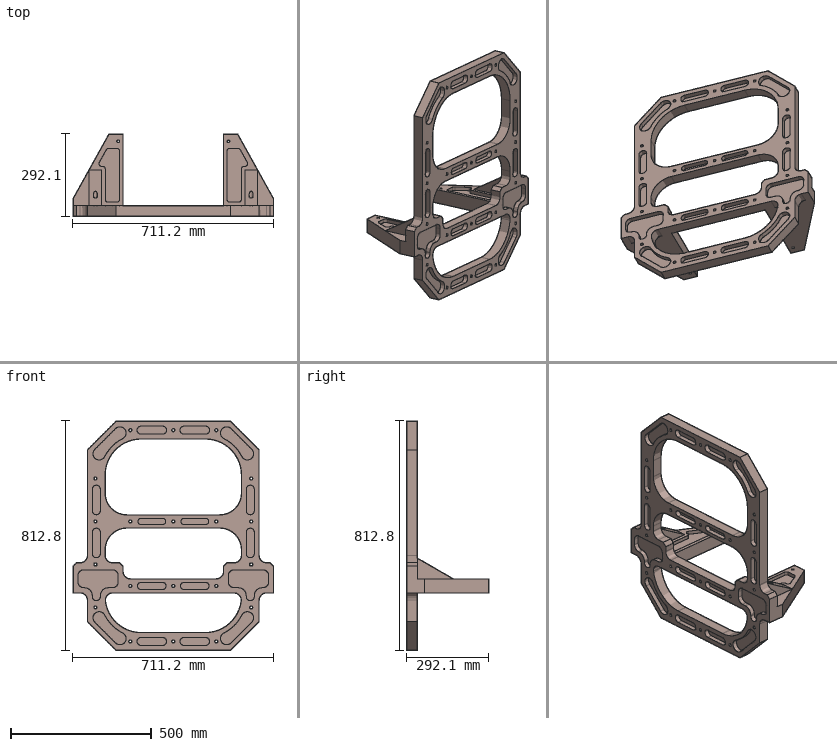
import math

import cadquery as cq

INCH = 25.4

PLATE_THICKNESS = 1.5 * INCH
FRAME_HALF_WIDTH = 12 * INCH
FRAME_HALF_HEIGHT = 16 * INCH
FRAME_CHAMFER = 4 * INCH
CHAMFER_ANGLE = 45
RIM_WIDTH = 2.5 * INCH

OPENING_HALF_WIDTH = FRAME_HALF_WIDTH - RIM_WIDTH
OPENING_HALF_HEIGHT = FRAME_HALF_HEIGHT - RIM_WIDTH
OUTER_CORNER_RADIUS = 5 * INCH
INNER_CORNER_RADIUS = 3 * INCH
BLEND_RADIUS = 1 * INCH

MIDDLE_BAR_WIDTH = 1.875 * INCH
LOWER_BAR_WIDTH = 2 * INCH
MIDDLE_BAR_Z = 2 * INCH
LOWER_BAR_Z = -7 * INCH
LOWER_BAR_TOP = LOWER_BAR_Z + LOWER_BAR_WIDTH / 2
LOWER_BAR_BOTTOM = LOWER_BAR_Z - LOWER_BAR_WIDTH / 2

EAR_OUTER_X = 14 * INCH
EAR_INNER_X = 7 * INCH
EAR_TOP = -3.75 * INCH
EAR_CHAMFER = 0.5 * INCH

POCKET_DEPTH = 0.6875 * INCH
POCKET_WALL = 0.6875 * INCH
RIM_SLOT_WIDTH = RIM_WIDTH - 2 * POCKET_WALL
BAR_SLOT_WALL = 0.5 * INCH
SLOT_CENTRE_DISTANCE = 3 * INCH
CORNER_POCKET_END_RADIUS = 0.865 * INCH
EAR_POCKET_TOP_WALL = 1 * INCH
EAR_POCKET_BOTTOM_WALL = 0.75 * INCH
EAR_POCKET_TOP = EAR_TOP - EAR_POCKET_TOP_WALL
EAR_POCKET_BOTTOM = LOWER_BAR_BOTTOM + EAR_POCKET_BOTTOM_WALL
EAR_POCKET_RADIUS = 0.8125 * INCH
STEM_BLEND_RADIUS = 1.125 * INCH

HOLE_PITCH = 6 * INCH
BOLT_DIAMETER = 0.385 * INCH
RIM_CENTRE_X = FRAME_HALF_WIDTH - RIM_WIDTH / 2
RIM_CENTRE_Z = FRAME_HALF_HEIGHT - RIM_WIDTH / 2
SIDE_HOLE_X = 10.875 * INCH

BRACKET_REACH = 11.5 * INCH
BRACKET_TIP_X = 9 * INCH
TAPER_START_Y = 2.5 * INCH
BRACKET_POCKET_MARGIN = 0.5 * INCH
BRACKET_POCKET_TAPER_WALL = 0.75 * INCH
BRACKET_POCKET_TIP_WALL = 2 * INCH
BRACKET_POCKET_END_Y = BRACKET_REACH - BRACKET_POCKET_TIP_WALL
BRACKET_POCKET_DEPTH = 0.5 * INCH
BRACKET_POCKET_RADIUS = 0.375 * INCH
TIP_HOLE_DIAMETER = 0.34 * INCH
TIP_HOLE_X = 7.7 * INCH
TIP_HOLE_SETBACK = 1 * INCH
TIP_HOLE_Y = BRACKET_REACH - TIP_HOLE_SETBACK

GUSSET_OUTER_X = 11.75 * INCH
GUSSET_INNER_X = 10 * INCH
GUSSET_LENGTH = 5 * INCH
GUSSET_ANGLE = math.radians(30)
GUSSET_BORE_DIAMETER = 0.5625 * INCH


def rounded_outline(workplane, corners):
    """Closed outline through (x, y, radius) corners, each rounded by its radius; 0 keeps it sharp."""
    path = None
    count = len(corners)
    for index, (x, y, radius) in enumerate(corners):
        corner = cq.Vector(x, y)
        before = (cq.Vector(*corners[index - 1][:2]) - corner).normalized()
        after = (cq.Vector(*corners[(index + 1) % count][:2]) - corner).normalized()
        half_angle = before.getAngle(after) / 2
        setback = radius / math.tan(half_angle)
        start = corner + before * setback
        end = corner + after * setback
        bisector = (before + after).normalized()
        middle = corner + bisector * (radius / math.sin(half_angle) - radius)
        if path is None:
            path = workplane.moveTo(start.x, start.y)
        else:
            path = path.lineTo(start.x, start.y)
        if radius > 0:
            path = path.threePointArc((middle.x, middle.y), (end.x, end.y))
    return path.close()


def front_plane():
    """Sketch plane on the front face: X right, Z up; extrude by a negative length to go back."""
    return cq.Workplane("XZ")


def mirror_pair(solid):
    return solid.union(solid.mirror("YZ"))


def frame_blank():
    blank = (
        front_plane()
        .rect(2 * FRAME_HALF_WIDTH, 2 * FRAME_HALF_HEIGHT)
        .extrude(-PLATE_THICKNESS)
        .edges("|Y")
        .chamfer(FRAME_CHAMFER)
    )
    return blank.union(mirror_pair(ear()))


def ear():
    """Left ear, with blends flowing into the outer side of the frame."""
    side = -FRAME_HALF_WIDTH
    inside = -OPENING_HALF_WIDTH
    top_blend = EAR_TOP + 2 * BLEND_RADIUS
    bottom_blend = LOWER_BAR_BOTTOM - 2 * BLEND_RADIUS
    corners = [
        (inside, top_blend, 0),
        (side, top_blend, 0),
        (side, EAR_TOP, BLEND_RADIUS),
        (-EAR_OUTER_X + EAR_CHAMFER, EAR_TOP, 0),
        (-EAR_OUTER_X, EAR_TOP - EAR_CHAMFER, 0),
        (-EAR_OUTER_X, LOWER_BAR_BOTTOM, 0),
        (side, LOWER_BAR_BOTTOM, BLEND_RADIUS),
        (side, bottom_blend, 0),
        (inside, bottom_blend, 0),
    ]
    return rounded_outline(front_plane(), corners).extrude(-PLATE_THICKNESS)


def upper_opening():
    bottom = MIDDLE_BAR_Z + MIDDLE_BAR_WIDTH / 2
    corners = [
        (-OPENING_HALF_WIDTH, bottom, INNER_CORNER_RADIUS),
        (-OPENING_HALF_WIDTH, OPENING_HALF_HEIGHT, OUTER_CORNER_RADIUS),
        (OPENING_HALF_WIDTH, OPENING_HALF_HEIGHT, OUTER_CORNER_RADIUS),
        (OPENING_HALF_WIDTH, bottom, INNER_CORNER_RADIUS),
    ]
    return rounded_outline(front_plane(), corners).extrude(-PLATE_THICKNESS)


def middle_opening():
    top = MIDDLE_BAR_Z - MIDDLE_BAR_WIDTH / 2
    left_side = [
        (-EAR_INNER_X, LOWER_BAR_TOP, BLEND_RADIUS),
        (-EAR_INNER_X, EAR_TOP - EAR_CHAMFER, 0),
        (-EAR_INNER_X - EAR_CHAMFER, EAR_TOP, 0),
        (-OPENING_HALF_WIDTH, EAR_TOP, BLEND_RADIUS),
        (-OPENING_HALF_WIDTH, top, INNER_CORNER_RADIUS),
    ]
    right_side = [(-x, z, radius) for x, z, radius in reversed(left_side)]
    return rounded_outline(front_plane(), left_side + right_side).extrude(-PLATE_THICKNESS)


def lower_opening():
    """Large bottom corner arcs, each running straight into a small blend at the crossbar."""
    arc_x = OPENING_HALF_WIDTH - OUTER_CORNER_RADIUS
    arc_z = OUTER_CORNER_RADIUS - OPENING_HALF_HEIGHT
    blend_z = LOWER_BAR_BOTTOM - BLEND_RADIUS
    centre_distance = OUTER_CORNER_RADIUS - BLEND_RADIUS
    tilt = math.asin((blend_z - arc_z) / centre_distance)
    blend_x = arc_x + centre_distance * math.cos(tilt)

    def on_arc(angle):
        return (
            arc_x + OUTER_CORNER_RADIUS * math.cos(angle),
            arc_z + OUTER_CORNER_RADIUS * math.sin(angle),
        )

    def on_blend(angle):
        return (blend_x + BLEND_RADIUS * math.cos(angle), blend_z + BLEND_RADIUS * math.sin(angle))

    down = -math.pi / 2
    up = math.pi / 2
    half = (
        front_plane()
        .moveTo(0, -OPENING_HALF_HEIGHT)
        .lineTo(arc_x, -OPENING_HALF_HEIGHT)
        .threePointArc(on_arc((down + tilt) / 2), on_arc(tilt))
        .threePointArc(on_blend((tilt + up) / 2), on_blend(up))
        .lineTo(0, LOWER_BAR_BOTTOM)
        .close()
        .extrude(-PLATE_THICKNESS)
    )
    return mirror_pair(half)


def slot_pockets(centres, width, angle):
    length = SLOT_CENTRE_DISTANCE + width
    return front_plane().pushPoints(centres).slot2D(length, width, angle).extrude(-POCKET_DEPTH)


def straight_pockets():
    """Slots midway between neighbouring bolt holes."""
    half_pitch = HOLE_PITCH / 2
    sides = (-1, 1)
    rim_rows = [(x * half_pitch, z * RIM_CENTRE_Z) for x in sides for z in sides]
    middle_row = [(x * half_pitch, MIDDLE_BAR_Z) for x in sides]
    lower_row = [(x * half_pitch, LOWER_BAR_Z) for x in sides]
    heights = [MIDDLE_BAR_Z + step * half_pitch for step in (1, -1, -3)]
    rim_columns = [(x * RIM_CENTRE_X, z) for x in sides for z in heights]
    return (
        slot_pockets(rim_rows, RIM_SLOT_WIDTH, 0)
        .union(slot_pockets(middle_row, MIDDLE_BAR_WIDTH - 2 * BAR_SLOT_WALL, 0))
        .union(slot_pockets(lower_row, LOWER_BAR_WIDTH - 2 * BAR_SLOT_WALL, 0))
        .union(slot_pockets(rim_columns, RIM_SLOT_WIDTH, 90))
    )


def corner_pocket():
    """Pocket between the chamfer and the opening's corner arc, round ends tangent to both walls.

    Laid out about the arc centre with the first axis pointing at the chamfer,
    then turned into the upper right corner of the frame.
    """
    arc_x = OPENING_HALF_WIDTH - OUTER_CORNER_RADIUS
    arc_z = OPENING_HALF_HEIGHT - OUTER_CORNER_RADIUS
    chamfer_sum = FRAME_HALF_WIDTH + FRAME_HALF_HEIGHT - FRAME_CHAMFER
    outer_wall = (chamfer_sum - arc_x - arc_z) / math.sqrt(2) - POCKET_WALL
    inner_radius = OUTER_CORNER_RADIUS + POCKET_WALL
    end_radius = CORNER_POCKET_END_RADIUS

    end_distance = inner_radius + end_radius
    end_along = outer_wall - end_radius
    end_angle = math.acos(end_along / end_distance)
    end_across = end_distance * math.sin(end_angle)
    tangent_along = inner_radius * math.cos(end_angle)
    tangent_across = inner_radius * math.sin(end_angle)
    tip_angle = (end_angle + math.pi) / 2
    tip_along = end_along + end_radius * math.cos(tip_angle)
    tip_across = end_across + end_radius * math.sin(tip_angle)
    return (
        front_plane()
        .moveTo(outer_wall, -end_across)
        .lineTo(outer_wall, end_across)
        .threePointArc((tip_along, tip_across), (tangent_along, tangent_across))
        .threePointArc((inner_radius, 0), (tangent_along, -tangent_across))
        .threePointArc((tip_along, -tip_across), (outer_wall, -end_across))
        .close()
        .extrude(-POCKET_DEPTH)
        .rotate((0, 0, 0), (0, 1, 0), -CHAMFER_ANGLE)
        .translate((arc_x, 0, arc_z))
    )


def corner_pockets():
    upper = mirror_pair(corner_pocket())
    return upper.union(upper.mirror("XY"))


def ear_pocket():
    """Left ear pocket; its stem blends into the slot that runs down the rim."""
    outer = -EAR_OUTER_X + POCKET_WALL
    inner = -EAR_INNER_X - POCKET_WALL
    stem_left = -RIM_CENTRE_X - RIM_SLOT_WIDTH / 2
    stem_right = -RIM_CENTRE_X + RIM_SLOT_WIDTH / 2
    stem_end = LOWER_BAR_Z - SLOT_CENTRE_DISTANCE / 2
    corners = [
        (outer, EAR_POCKET_TOP, EAR_POCKET_RADIUS),
        (inner, EAR_POCKET_TOP, EAR_POCKET_RADIUS),
        (inner, EAR_POCKET_BOTTOM, EAR_POCKET_RADIUS),
        (stem_right, EAR_POCKET_BOTTOM, STEM_BLEND_RADIUS),
        (stem_right, stem_end, 0),
        (stem_left, stem_end, 0),
        (stem_left, EAR_POCKET_BOTTOM, STEM_BLEND_RADIUS),
        (outer, EAR_POCKET_BOTTOM, EAR_POCKET_RADIUS),
    ]
    return rounded_outline(front_plane(), corners).extrude(-POCKET_DEPTH)


def bolt_holes():
    rows = (RIM_CENTRE_Z, MIDDLE_BAR_Z, LOWER_BAR_Z, -RIM_CENTRE_Z)
    row_points = [(column * HOLE_PITCH, z) for z in rows for column in (-1, 0, 1)]
    heights = [MIDDLE_BAR_Z + step * HOLE_PITCH for step in (1, 0, -1, -2)]
    side_points = [(side * SIDE_HOLE_X, z) for side in (-1, 1) for z in heights]
    return (
        front_plane()
        .pushPoints(row_points + side_points)
        .circle(BOLT_DIAMETER / 2)
        .extrude(-PLATE_THICKNESS)
    )


def frame():
    return (
        frame_blank()
        .cut(upper_opening())
        .cut(middle_opening())
        .cut(lower_opening())
        .cut(straight_pockets())
        .cut(corner_pockets())
        .cut(mirror_pair(ear_pocket()))
        .cut(bolt_holes())
    )


def bracket_slab():
    """Left bracket: a level slab whose outer side tapers towards the tip."""
    outline = [
        (-EAR_OUTER_X, PLATE_THICKNESS),
        (-EAR_OUTER_X, TAPER_START_Y),
        (-BRACKET_TIP_X, BRACKET_REACH),
        (-EAR_INNER_X, BRACKET_REACH),
        (-EAR_INNER_X, PLATE_THICKNESS),
    ]
    return (
        cq.Workplane("XY", origin=(0, 0, LOWER_BAR_BOTTOM))
        .polyline(outline)
        .close()
        .extrude(LOWER_BAR_WIDTH)
    )


def bracket_pocket():
    """Pocket in the slab's top, keeping clear of the gusset and parallel to the taper."""
    taper_x = EAR_OUTER_X - BRACKET_TIP_X
    taper_y = BRACKET_REACH - TAPER_START_Y
    wall_along_x = BRACKET_POCKET_TAPER_WALL * math.hypot(taper_x, taper_y) / taper_y

    def taper_wall_x(y):
        return -BRACKET_TIP_X - (BRACKET_REACH - y) * taper_x / taper_y + wall_along_x

    inner = -EAR_INNER_X - BRACKET_POCKET_MARGIN
    beside_gusset = -GUSSET_INNER_X + BRACKET_POCKET_MARGIN
    behind_gusset = PLATE_THICKNESS + GUSSET_LENGTH + BRACKET_POCKET_MARGIN
    start = PLATE_THICKNESS + BRACKET_POCKET_MARGIN
    outline = [
        (inner, start),
        (inner, BRACKET_POCKET_END_Y),
        (taper_wall_x(BRACKET_POCKET_END_Y), BRACKET_POCKET_END_Y),
        (taper_wall_x(behind_gusset), behind_gusset),
        (beside_gusset, behind_gusset),
        (beside_gusset, start),
    ]
    corners = [(x, y, BRACKET_POCKET_RADIUS) for x, y in outline]
    top = cq.Workplane("XY", origin=(0, 0, LOWER_BAR_TOP))
    return rounded_outline(top, corners).extrude(-BRACKET_POCKET_DEPTH)


def tip_hole():
    return (
        cq.Workplane("XY", origin=(-TIP_HOLE_X, TIP_HOLE_Y, LOWER_BAR_BOTTOM))
        .circle(TIP_HOLE_DIAMETER / 2)
        .extrude(LOWER_BAR_WIDTH)
    )


def gusset():
    """Left gusset, with a bore in line with the bolt hole in the rim behind it."""
    height = GUSSET_LENGTH * math.tan(GUSSET_ANGLE)
    wedge = (
        cq.Workplane("YZ", origin=(-GUSSET_OUTER_X, PLATE_THICKNESS, LOWER_BAR_TOP))
        .polyline([(0, 0), (GUSSET_LENGTH, 0), (0, height)])
        .close()
        .extrude(GUSSET_OUTER_X - GUSSET_INNER_X)
    )
    bore = (
        cq.Workplane("XZ", origin=(-SIDE_HOLE_X, PLATE_THICKNESS, MIDDLE_BAR_Z - HOLE_PITCH))
        .circle(GUSSET_BORE_DIAMETER / 2)
        .extrude(-GUSSET_LENGTH)
    )
    return wedge.cut(bore)


def bracket():
    return bracket_slab().cut(bracket_pocket()).cut(tip_hole()).union(gusset())


result = frame().union(mirror_pair(bracket()))